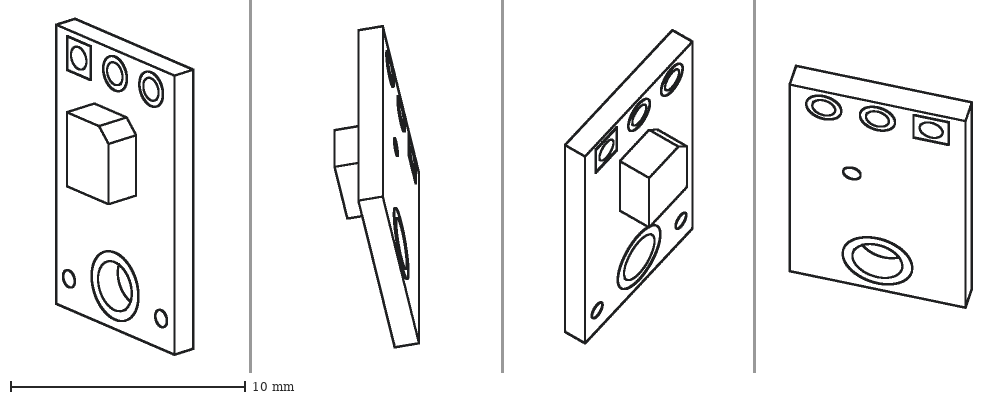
import cadquery as cq

board_width = 7.77
board_height = 12.83
board_thickness = 1.06

pad_thickness = 0.03

pin_pitch = 2.37
pin_row_z = 5.34
pin_hole_diameter = 1.01
pin_pad_size = 1.55

mount_z = -4.43
mount_hole_diameter = 2.21
mount_pad_diameter = 3.08

mark_diameter = 0.77
front_mark_x = 3.03
front_mark_z = -5.0
back_mark_x = 1.13
back_mark_z = 1.22

chip_width = 2.75
chip_height = 3.4
chip_depth = 1.55
chip_center_z = 1.85
chip_bevel = 0.63

pin_xs = [-pin_pitch, 0, pin_pitch]
pin_points = [(x, pin_row_z) for x in pin_xs]
mount_point = (0, mount_z)


def front_plane(y=0.0):
    """XZ sketch plane at the given Y, facing -Y."""
    return cq.Workplane("XZ", origin=(0, y, 0))


def make_board():
    return front_plane().rect(board_width, board_height).extrude(-board_thickness)


def make_chip():
    chip = front_plane().center(0, chip_center_z).rect(chip_width, chip_height).extrude(chip_depth)
    return chip.edges("|Y and >X and >Z").chamfer(chip_bevel)


def make_pads(base_y, mark_points):
    """Pin pads, mounting ring and alignment marks, raised toward -Y from base_y."""
    plane = front_plane(base_y)
    pads = plane.pushPoints(pin_points[:1]).rect(pin_pad_size, pin_pad_size).extrude(pad_thickness)
    pads = pads.union(plane.pushPoints(pin_points[1:]).circle(pin_pad_size / 2).extrude(pad_thickness))
    pads = pads.union(plane.pushPoints([mount_point]).circle(mount_pad_diameter / 2).extrude(pad_thickness))
    return pads.union(plane.pushPoints(mark_points).circle(mark_diameter / 2).extrude(pad_thickness))


def make_drill(points, diameter):
    """Cylinders long enough to pass through the board and both pad layers."""
    drill_length = board_thickness + 2 * pad_thickness
    return front_plane(-pad_thickness).pushPoints(points).circle(diameter / 2).extrude(-drill_length)


front_marks = [(-front_mark_x, front_mark_z), (front_mark_x, front_mark_z)]
back_marks = [(back_mark_x, back_mark_z)]

result = (
    make_board()
    .union(make_chip())
    .union(make_pads(0, front_marks))
    .union(make_pads(board_thickness + pad_thickness, back_marks))
    .cut(make_drill(pin_points, pin_hole_diameter))
    .cut(make_drill([mount_point], mount_hole_diameter))
)